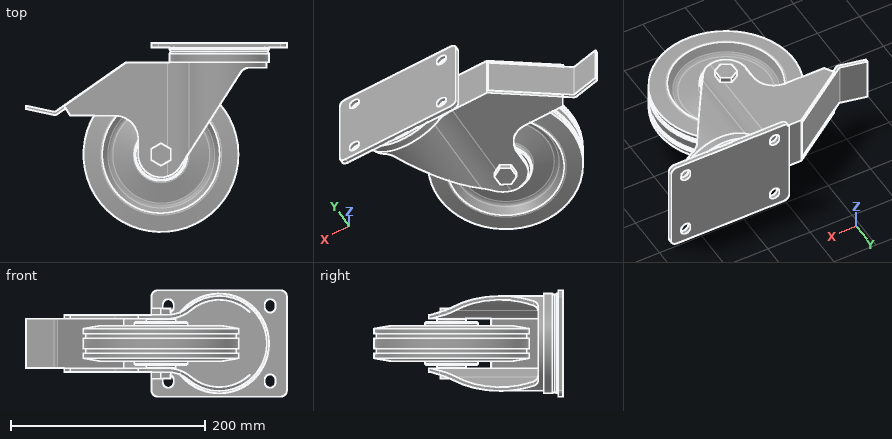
import cadquery as cq
import math


WHEEL_R = 80.0
TREAD_HALF_W = 15.3
TYRE_HALF_W = 18.4
GROOVE_R = 155.52 / 2
GROOVE_INNER_Z = 5.3
GROOVE_OUTER_Z = 10.2
TYRE_SIDE_R = 62.3
RIM_LIP_R = 60.5
RIM_WALL_R = 55.0
WEB_OUTER_R = 50.0
WEB_SLOPE = 16.0
RIM_WALL_SLOPE = 57.0
HUB_R = 54.72 / 2
HUB_HALF_W = 22.3
HUB_CHAMFER = 1.4
HUB_FOOT_R = 28.8
SPACER_R = 30.4 / 2
SPACER_CHAMFER = 0.7
BOLT_FLATS = 20.02
BOLT_HEAD_H = 6.7
HEXAGON_SIDES = 6
HEXAGON_HALF_ANGLE = 180 / HEXAGON_SIDES

TOP_Y = 115.0
PLATE_T = 5.0
PLATE_L = 140.0
PLATE_W = 110.0
PLATE_CORNER_R = 7.0
SWIVEL_X = 60.0
SLOT_PITCH_X = 105.0
SLOT_PITCH_Z = 77.5
SLOT_W = 11.0
SLOT_L = 13.5

RING_R = 103.04 / 2
RING_NECK_R = 50.2
RING_TOP_R = 51.0
RING_EDGE_Y = 103.7
RING_NECK_Y = 106.2
RING_FLANGE_Y = 108.6

SHEET_T = 4.0
FORK_HALF_W = 29.5
FORK_TOP_Y = 95.0
CROWN_T = 5.7
CROWN_R = 49.0
BEND_START_X = 6.5
AXLE_EYE_R = 23.5
FLANK_ANGLE = 57.3
FLANK_FILLET = 11.0
ARM_TOP_X = -35.5
ARM_SLOPE = 35.0
ARM_TIP_X = -99.8
ARM_BOTTOM_X = -93.6
ARM_BOTTOM_Y = 40.0
ARM_FILLET = 24.0

PEDAL_T = 3.5
PEDAL_PROUD = 0.5
PEDAL_BEND_X = -109.3
PEDAL_END_X = -139.2
PEDAL_TIP_SLOPE = 12.2
PEDAL_BEND_R = 1.5

FORK_INNER_HALF_W = FORK_HALF_W - SHEET_T
CROWN_BOTTOM_Y = FORK_TOP_Y - CROWN_T
PLATE_BOTTOM_Y = TOP_Y - PLATE_T


def arc_point(center, radius, degrees):
    """Point on a circle at an angle measured from its first axis."""
    angle = math.radians(degrees)
    return (center[0] + radius * math.cos(angle), center[1] + radius * math.sin(angle))


def make_wheel_half():
    """The +Z half of the wheel, with its hub and spacer, as one solid of revolution about Z."""
    wall_slope = math.radians(RIM_WALL_SLOPE)
    web_slope = math.radians(WEB_SLOPE)
    wall_end_z = TYRE_HALF_W - (RIM_LIP_R - RIM_WALL_R) * math.tan(wall_slope)
    valley_round = (RIM_WALL_R - WEB_OUTER_R) / (math.sin(wall_slope) + math.sin(web_slope))
    valley_center = (
        RIM_WALL_R - valley_round * math.sin(wall_slope),
        wall_end_z + valley_round * math.cos(wall_slope),
    )
    valley_bottom = arc_point(valley_center, valley_round, -90)
    web_start = arc_point(valley_center, valley_round, -90 - WEB_SLOPE)
    web_end_z = web_start[1] + (web_start[0] - HUB_FOOT_R) * math.tan(web_slope)
    foot_round = HUB_FOOT_R - HUB_R
    foot_center = (HUB_FOOT_R, web_end_z + foot_round)
    profile = (
        cq.Workplane("XZ")
        .moveTo(0, 0)
        .lineTo(WHEEL_R, 0)
        .lineTo(WHEEL_R, GROOVE_INNER_Z)
        .lineTo(GROOVE_R, GROOVE_INNER_Z)
        .lineTo(GROOVE_R, GROOVE_OUTER_Z)
        .lineTo(WHEEL_R, GROOVE_OUTER_Z)
        .lineTo(WHEEL_R, TREAD_HALF_W)
        .lineTo(TYRE_SIDE_R, TYRE_HALF_W)
        .lineTo(RIM_LIP_R, TYRE_HALF_W)
        .lineTo(RIM_WALL_R, wall_end_z)
        .threePointArc(valley_bottom, web_start)
        .lineTo(HUB_FOOT_R, web_end_z)
        .threePointArc(arc_point(foot_center, foot_round, 225), arc_point(foot_center, foot_round, 180))
        .lineTo(HUB_R, HUB_HALF_W - HUB_CHAMFER)
        .lineTo(HUB_R - HUB_CHAMFER, HUB_HALF_W)
        .lineTo(SPACER_R, HUB_HALF_W)
        .lineTo(SPACER_R, FORK_INNER_HALF_W - SPACER_CHAMFER)
        .lineTo(SPACER_R - SPACER_CHAMFER, FORK_INNER_HALF_W)
        .lineTo(0, FORK_INNER_HALF_W)
        .close()
    )
    return profile.revolve(360, (0, 0, 0), (0, 1, 0))


def make_wheel():
    half = make_wheel_half()
    return half.union(half.mirror("XY"))


def make_bolt():
    """Hexagonal bolt head and nut outside the two fork sheets, as one bar through the wheel."""
    across_corners = BOLT_FLATS / math.cos(math.radians(HEXAGON_HALF_ANGLE))
    half_length = FORK_HALF_W + BOLT_HEAD_H
    hexagon = cq.Workplane("XY", origin=(0, 0, -half_length)).polygon(HEXAGON_SIDES, across_corners)
    return hexagon.extrude(2 * half_length).rotate((0, 0, 0), (0, 0, 1), HEXAGON_HALF_ANGLE)


def make_plate():
    plate = cq.Workplane("XZ", origin=(SWIVEL_X, TOP_Y, 0)).rect(PLATE_L, PLATE_W).extrude(PLATE_T)
    plate = plate.edges("|Y").fillet(PLATE_CORNER_R)
    slots = cq.Workplane("XZ", origin=(SWIVEL_X, TOP_Y, 0))
    slots = slots.rarray(SLOT_PITCH_X, SLOT_PITCH_Z, 2, 2).slot2D(SLOT_L, SLOT_W, 90).extrude(PLATE_T)
    return plate.cut(slots)


def make_swivel_ring():
    outline = [
        (0, FORK_TOP_Y),
        (RING_R, FORK_TOP_Y),
        (RING_R, RING_EDGE_Y),
        (RING_NECK_R, RING_NECK_Y),
        (RING_R, RING_FLANGE_Y),
        (RING_TOP_R, PLATE_BOTTOM_Y),
        (0, PLATE_BOTTOM_Y),
    ]
    ring = cq.Workplane("XY").polyline(outline).close().revolve(360, (0, 0, 0), (0, 1, 0))
    return ring.translate((SWIVEL_X, 0, 0))


def fork_footprint(inset, bottom_y, top_y):
    """Prism along Y: two parallel sides that flare through a bend into the round crown."""
    half_w = FORK_HALF_W - inset
    crown_r = CROWN_R - inset
    run = SWIVEL_X - BEND_START_X
    bend_r = (run**2 + half_w**2 - crown_r**2) / (2 * (crown_r - half_w))
    to_crown = math.atan2(half_w + bend_r, run)
    joint_x = SWIVEL_X - crown_r * math.cos(to_crown)
    joint_z = crown_r * math.sin(to_crown)
    middle = -(math.pi / 2 + to_crown) / 2
    bend_mid_x = BEND_START_X + bend_r * math.cos(middle)
    bend_mid_z = half_w + bend_r + bend_r * math.sin(middle)
    footprint = (
        cq.Workplane("XZ", origin=(0, bottom_y, 0))
        .moveTo(ARM_TIP_X, -half_w)
        .lineTo(BEND_START_X, -half_w)
        .threePointArc((bend_mid_x, -bend_mid_z), (joint_x, -joint_z))
        .threePointArc((SWIVEL_X + crown_r, 0), (joint_x, joint_z))
        .threePointArc((bend_mid_x, bend_mid_z), (BEND_START_X, half_w))
        .lineTo(ARM_TIP_X, half_w)
        .close()
    )
    return footprint.extrude(bottom_y - top_y)


def arm_edge_y(x):
    """Height of the sloping upper edge of the fork arms."""
    return FORK_TOP_Y - (ARM_TOP_X - x) * math.tan(math.radians(ARM_SLOPE))


def make_fork():
    flank = math.radians(FLANK_ANGLE)
    eye_x = AXLE_EYE_R * math.sin(flank)
    eye_y = -AXLE_EYE_R * math.cos(flank)
    flank_top_x = eye_x + (CROWN_BOTTOM_Y - eye_y) / math.tan(flank)
    tangent = FLANK_FILLET * math.tan(flank / 2)
    round_start = (flank_top_x - tangent * math.cos(flank), CROWN_BOTTOM_Y - tangent * math.sin(flank))
    round_end = (flank_top_x + tangent, CROWN_BOTTOM_Y)
    crown_end_x = SWIVEL_X + CROWN_R
    side = (
        cq.Workplane("XY", origin=(0, 0, -CROWN_R))
        .moveTo(ARM_TOP_X, FORK_TOP_Y)
        .lineTo(crown_end_x, FORK_TOP_Y)
        .lineTo(crown_end_x, CROWN_BOTTOM_Y)
        .lineTo(*round_end)
        .radiusArc(round_start, -FLANK_FILLET)
        .lineTo(eye_x, eye_y)
        .threePointArc((0, -AXLE_EYE_R), (-AXLE_EYE_R, 0))
        .lineTo(-AXLE_EYE_R, ARM_BOTTOM_Y - ARM_FILLET)
        .radiusArc((-AXLE_EYE_R - ARM_FILLET, ARM_BOTTOM_Y), -ARM_FILLET)
        .lineTo(ARM_BOTTOM_X, ARM_BOTTOM_Y)
        .lineTo(ARM_TIP_X, arm_edge_y(ARM_TIP_X))
        .close()
        .extrude(2 * CROWN_R)
    )
    outer = fork_footprint(0, -AXLE_EYE_R, FORK_TOP_Y)
    hollow = fork_footprint(SHEET_T, -AXLE_EYE_R, CROWN_BOTTOM_Y)
    return outer.cut(hollow).intersect(side)


def make_brake_pedal():
    """Bent strip that closes the sloping side of the fork and ends in a foot tab."""
    slope = math.radians(ARM_SLOPE)
    tip = math.radians(PEDAL_TIP_SLOPE)
    proud = PEDAL_PROUD / math.cos(slope)
    bend_y = arm_edge_y(PEDAL_BEND_X) + proud
    end_y = bend_y + (PEDAL_BEND_X - PEDAL_END_X) * math.tan(tip)
    top_x = ARM_TOP_X - proud / math.tan(slope)
    half_bend = (slope + tip) / 2
    lean = (slope - tip) / 2
    miter = PEDAL_T / math.cos(half_bend)
    under_bend_x = PEDAL_BEND_X + miter * math.sin(lean)
    under_bend_y = bend_y - miter * math.cos(lean)
    under_end_y = end_y - PEDAL_T / math.cos(tip)
    under_top_y = FORK_TOP_Y - PEDAL_T / math.cos(slope)
    strip = (
        cq.Workplane("XY", origin=(0, 0, -FORK_INNER_HALF_W))
        .moveTo(top_x, FORK_TOP_Y)
        .lineTo(PEDAL_BEND_X, bend_y)
        .lineTo(PEDAL_END_X, end_y)
        .lineTo(PEDAL_END_X, under_end_y)
        .lineTo(under_bend_x, under_bend_y)
        .lineTo(top_x, under_top_y)
        .close()
        .extrude(2 * FORK_INNER_HALF_W)
    )
    upper_bend = cq.selectors.NearestToPointSelector((PEDAL_BEND_X, bend_y, 0))
    strip = strip.edges(upper_bend).fillet(PEDAL_BEND_R)
    under_bend = cq.selectors.NearestToPointSelector((under_bend_x, under_bend_y, 0))
    return strip.edges(under_bend).fillet(PEDAL_BEND_R + PEDAL_T)


result = (
    make_fork()
    .union(make_brake_pedal())
    .union(make_swivel_ring())
    .union(make_plate())
    .union(make_wheel())
    .union(make_bolt())
)